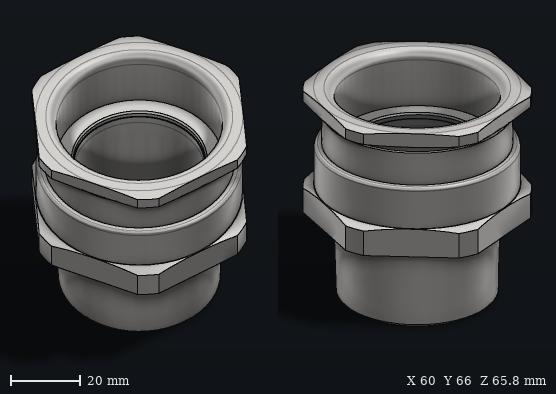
import cadquery as cq
import math

across_flats = 60.0
corner_radius = 33.0
bevel_start_radius = 29.9

hex_bottom = 26.15
hex_top = 35.05
collar_top = 48.05
nut_bottom = 46.3
nut_floor = 48.05
neck_bottom = 58.3
flange_bottom = 61.3
nut_top = 65.75

thread_bottom_radius = 23.4
thread_top_radius = 24.15
thread_chamfer = 1.05
body_bevel_drop = 1.05
collar_radius = 29.75
collar_fillet = 1.0
bore_bottom_radius = 17.75
bore_top_radius = 18.8
bore_taper_top = 44.1

barrel_radius = 27.6
neck_radius = 26.5
nut_bevel_drop = 0.5
nut_bore_radius = 23.95
mouth_fillet = 3.0
lip_radius = 19.1
lip_chamfer = 0.5


def revolve_profile(profile):
    """Turn a closed (radius, height) profile around the Z axis."""
    return profile.close().revolve(360, (0, 0, 0), (0, 1, 0))


def hexagon(bottom, top, bottom_drop, top_drop):
    """Hexagon with flats facing X, its corners turned round and bevelled by the given drops."""
    height = top - bottom
    across_corners = across_flats / math.cos(math.radians(30))
    prism = (
        cq.Workplane("XY", origin=(0, 0, bottom))
        .transformed(rotate=(0, 0, 30))
        .polygon(6, across_corners)
        .extrude(height)
    )
    envelope = cq.Workplane("XZ").moveTo(0, bottom)
    if bottom_drop > 0:
        envelope = envelope.lineTo(bevel_start_radius, bottom)
    envelope = (
        envelope.lineTo(corner_radius, bottom + bottom_drop)
        .lineTo(corner_radius, top - top_drop)
        .lineTo(bevel_start_radius, top)
        .lineTo(0, top)
    )
    return prism.intersect(revolve_profile(envelope))


def make_body():
    """Tapered thread, hexagon and collar, bored through and recessed for the gland nut."""
    thread = revolve_profile(
        cq.Workplane("XZ")
        .moveTo(0, 0)
        .lineTo(thread_bottom_radius - thread_chamfer, 0)
        .lineTo(thread_bottom_radius, thread_chamfer)
        .lineTo(thread_top_radius, hex_bottom)
        .lineTo(0, hex_bottom)
    )
    collar = (
        cq.Workplane("XY", origin=(0, 0, hex_top))
        .circle(collar_radius)
        .extrude(collar_top - hex_top)
        .faces(">Z")
        .edges()
        .fillet(collar_fillet)
    )
    cavity = revolve_profile(
        cq.Workplane("XZ")
        .moveTo(0, 0)
        .lineTo(bore_bottom_radius, 0)
        .lineTo(bore_top_radius, bore_taper_top)
        .lineTo(bore_top_radius, nut_bottom)
        .lineTo(barrel_radius, nut_bottom)
        .lineTo(barrel_radius, collar_top)
        .lineTo(0, collar_top)
    )
    nut_hexagon = hexagon(hex_bottom, hex_top, 0, body_bevel_drop)
    return thread.union(nut_hexagon).union(collar).cut(cavity)


def make_gland_nut():
    """Barrel, relief neck and hexagonal flange, with a rounded mouth and an inner lip."""
    barrel = (
        cq.Workplane("XY", origin=(0, 0, nut_bottom))
        .circle(barrel_radius)
        .extrude(neck_bottom - nut_bottom)
    )
    neck = (
        cq.Workplane("XY", origin=(0, 0, neck_bottom))
        .circle(neck_radius)
        .extrude(flange_bottom - neck_bottom)
    )
    flange = hexagon(flange_bottom, nut_top, nut_bevel_drop, nut_bevel_drop)
    mouth_radius = nut_bore_radius + mouth_fillet
    cavity = revolve_profile(
        cq.Workplane("XZ")
        .moveTo(0, nut_bottom)
        .lineTo(lip_radius, nut_bottom)
        .lineTo(lip_radius, nut_floor - lip_chamfer)
        .lineTo(lip_radius + lip_chamfer, nut_floor)
        .lineTo(nut_bore_radius, nut_floor)
        .lineTo(nut_bore_radius, nut_top - mouth_fillet)
        .radiusArc((mouth_radius, nut_top), mouth_fillet)
        .lineTo(0, nut_top)
    )
    return barrel.union(neck).union(flange).cut(cavity)


body = make_body()
gland_nut = make_gland_nut()

result = cq.Compound.makeCompound([body.val(), gland_nut.val()])